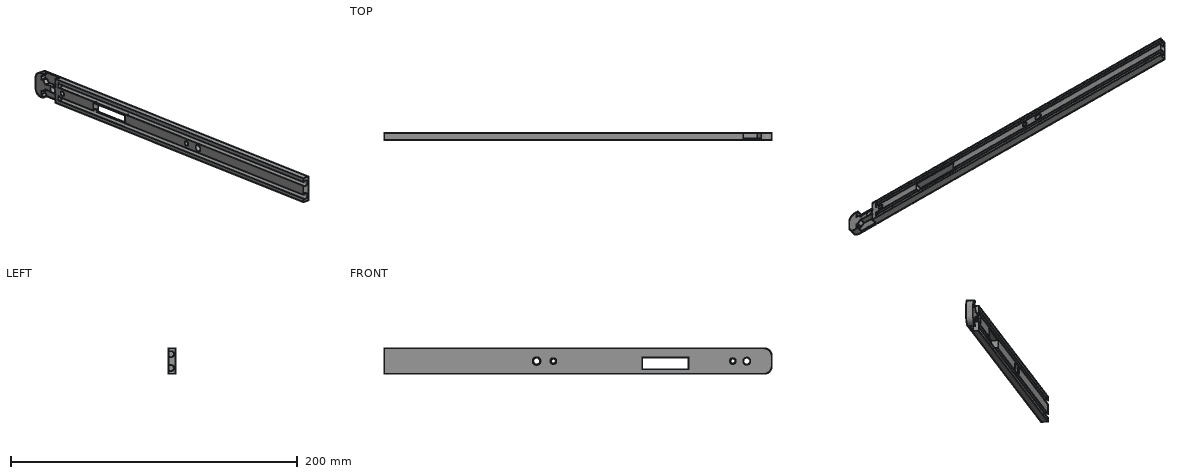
import cadquery as cq
import math

LENGTH = 270.27
THICKNESS = 5.0
HEIGHT = 18.0
HALF_HEIGHT = HEIGHT / 2
END_CORNER_RADIUS = 5.5

EDGE_RADIUS = 0.2
EDGE_ROUND_LENGTH = 251.0

WEB_THICKNESS = 1.2
GROOVE_RADIUS = 2.15
GROOVE_CENTER_Y = WEB_THICKNESS + GROOVE_RADIUS
GROOVE_CENTER_Z = 4.85
GROOVE_END_WALL = 3.0

FLANGE_LENGTH = 250.2
GROOVE_LENGTH = FLANGE_LENGTH - GROOVE_END_WALL
FLOOR_START_Z = 2.6
FLOOR_SLOPE = math.radians(4.6)
RAMP_START_X = 260.2
LIP_X = 262.7
LIP_EDGE_HEIGHT = 0.7
STOP_WALL_X = 264.2

LARGE_HOLE_DIAMETER = 4.7
SMALL_HOLE_DIAMETER = 3.4
RIM_CHAMFER = 0.4
PLAIN_LARGE_HOLE_X = 252.8
CHAMFERED_LARGE_HOLE_X = 106.3
CHAMFERED_SMALL_HOLES_X = [118.0, 243.1]

WINDOW_LEFT_X = 180.0
WINDOW_LENGTH = 32.0
WINDOW_HEIGHT = 8.0
WINDOW_CENTER_Z = -1.6


def both_sides(shape):
    """The shape together with its mirror image below the middle plane."""
    return shape.union(shape.mirror("XY"))


def make_body():
    """Flat bar with two rounded corners at the right end."""
    bar = cq.Workplane("XY").box(LENGTH, THICKNESS, HEIGHT, centered=(False, False, True))
    return bar.edges("|Y and >X").fillet(END_CORNER_RADIUS)


def make_grooves():
    """The ball grooves."""
    section = cq.Workplane("YZ").center(GROOVE_CENTER_Y, GROOVE_CENTER_Z).circle(GROOVE_RADIUS)
    return both_sides(section.extrude(GROOVE_LENGTH))


def make_stop_gaps():
    """Gaps with a gently falling floor, a 45 degree ramp and an undercut below the stop's lip."""
    ramp_start_z = FLOOR_START_Z - (RAMP_START_X - FLANGE_LENGTH) * math.tan(FLOOR_SLOPE)
    ledge_z = ramp_start_z + LIP_X - RAMP_START_X
    lip_bottom_z = HALF_HEIGHT - LIP_EDGE_HEIGHT
    stop_wall_top_z = lip_bottom_z - (STOP_WALL_X - LIP_X)
    gap = (
        cq.Workplane("XZ", origin=(0, WEB_THICKNESS, 0))
        .moveTo(FLANGE_LENGTH, HALF_HEIGHT)
        .lineTo(FLANGE_LENGTH, FLOOR_START_Z)
        .lineTo(RAMP_START_X, ramp_start_z)
        .lineTo(LIP_X, ledge_z)
        .lineTo(STOP_WALL_X, ledge_z)
        .lineTo(STOP_WALL_X, stop_wall_top_z)
        .lineTo(LIP_X, lip_bottom_z)
        .lineTo(LIP_X, HALF_HEIGHT)
        .close()
        .extrude(WEB_THICKNESS - THICKNESS)
    )
    return both_sides(gap)


def make_edge_rounds():
    """Material removed to round the front edges."""
    cutter = (
        cq.Workplane("YZ")
        .moveTo(0, HALF_HEIGHT - EDGE_RADIUS)
        .radiusArc((EDGE_RADIUS, HALF_HEIGHT), EDGE_RADIUS)
        .lineTo(0, HALF_HEIGHT)
        .close()
        .extrude(EDGE_ROUND_LENGTH)
    )
    return both_sides(cutter)


def make_hole(x, diameter):
    """Plain round hole through the thickness."""
    return cq.Workplane("XZ").center(x, 0).circle(diameter / 2).extrude(-THICKNESS)


def make_chamfered_hole(x, diameter):
    """Round through hole with a 45 degree chamfer at the front face."""
    rim = cq.Solid.makeCone(
        diameter / 2 + RIM_CHAMFER, diameter / 2, RIM_CHAMFER, cq.Vector(x, 0, 0), cq.Vector(0, 1, 0)
    )
    return make_hole(x, diameter).union(cq.Workplane(obj=rim))


def make_window():
    """Rectangular opening through the thickness."""
    center_x = WINDOW_LEFT_X + WINDOW_LENGTH / 2
    outline = cq.Workplane("XZ").center(center_x, WINDOW_CENTER_Z).rect(WINDOW_LENGTH, WINDOW_HEIGHT)
    return outline.extrude(-THICKNESS)


result = make_body()
result = result.cut(make_grooves())
result = result.cut(make_stop_gaps())
result = result.cut(make_edge_rounds())
result = result.cut(make_window())
result = result.cut(make_hole(PLAIN_LARGE_HOLE_X, LARGE_HOLE_DIAMETER))
result = result.cut(make_chamfered_hole(CHAMFERED_LARGE_HOLE_X, LARGE_HOLE_DIAMETER))
for hole_x in CHAMFERED_SMALL_HOLES_X:
    result = result.cut(make_chamfered_hole(hole_x, SMALL_HOLE_DIAMETER))